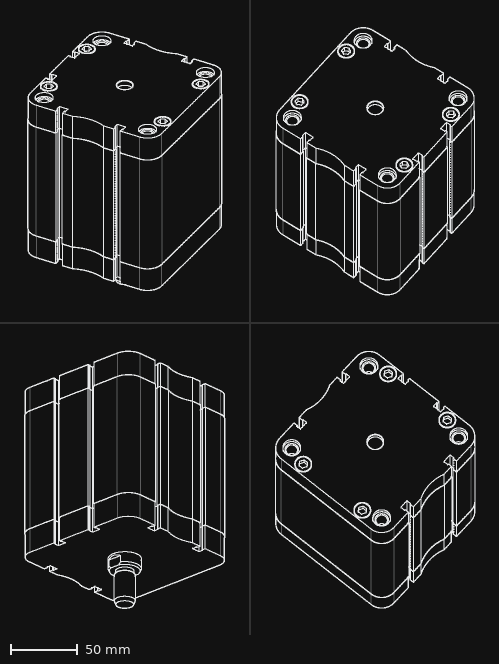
import cadquery as cq

PART_HEIGHT = 175.0
HOUSING_HEIGHT = 137.0
CAP_HEIGHT = 19.6
BARREL_HEIGHT = HOUSING_HEIGHT - 2 * CAP_HEIGHT
BARREL_SIDE = 113.5
CAP_SIDE = 113.0
CORNER_CENTER = 44.5

FLUTE_WIDTH = 26.8
FLUTE_DEPTH = 2.8
FLUTE_RADIUS = ((FLUTE_WIDTH / 2) ** 2 + FLUTE_DEPTH**2) / (2 * FLUTE_DEPTH)

SLOT_CHANNEL_WIDTH = 7.2
BARREL_NECK_WIDTH = 5.5
CAP_NECK_WIDTH = 5.8
Y_FACE_SLOT_OFFSET = 24.8
Y_FACE_SLOT_DEPTH = 7.2
Y_FACE_NECK_DEPTH = 3.5
X_FACE_SLOT_OFFSET = 17.5
X_FACE_SLOT_DEPTH = 6.0
X_FACE_NECK_DEPTH = 2.1

MOUNT_COUNTERBORE_DIAMETER = 13.5
MOUNT_COUNTERBORE_DEPTH = 3.5
MOUNT_CHAMFER_DIAMETER = 10.2
MOUNT_HOLE_DIAMETER = 8.5

SCREW_X = 49.0
SCREW_Y = 29.2
SCREW_GROOVE_DIAMETER = 12.8
SCREW_HEAD_DIAMETER = 12.0
SCREW_GROOVE_DEPTH = 0.9
SOCKET_ACROSS_FLATS = 6.0
SOCKET_DEPTH = 4.4

CENTER_BORE_DIAMETER = 12.0
CENTER_BORE_RIM_DIAMETER = 12.8
CENTER_BORE_DEPTH = 4.2

ROD_DIAMETER = 25.0
ROD_END = 10.2
ROD_END_CHAMFER_HEIGHT = 2.0
ROD_END_CHAMFER_WIDTH = 0.9
FLAT_WIDTH = 22.0
FLAT_START = 3.0
NECK_DIAMETER = 14.0
THREAD_DIAMETER = 16.0
THREAD_START = 13.0
THREAD_START_CHAMFER = 0.5
TIP_DIAMETER = 13.5
TIP_CHAMFER_HEIGHT = 3.2
ROD_TIP = PART_HEIGHT - HOUSING_HEIGHT


def rounded_block(side, height):
    """Square block whose rounded corners are centered on the mounting holes."""
    corner_radius = side / 2 - CORNER_CENTER
    block = cq.Workplane("XY").rect(side, side).extrude(height)
    return block.edges("|Z").fillet(corner_radius)


def flutes(side, height):
    """Cutters that hollow the middle of the +Y and -Y faces."""
    center = side / 2 - FLUTE_DEPTH + FLUTE_RADIUS
    return cq.Workplane("XY").pushPoints([(0, -center), (0, center)]).circle(FLUTE_RADIUS).extrude(height)


def t_slot(slot_depth, neck_depth, neck_width, height):
    """T-slot cutter that opens through the -Y face, centered on X = 0."""
    face = -BARREL_SIDE / 2
    neck = cq.Workplane("XY").center(0, face).rect(neck_width, 2 * neck_depth).extrude(height)
    channel_depth = slot_depth - neck_depth
    channel = (
        cq.Workplane("XY")
        .center(0, face + neck_depth + channel_depth / 2)
        .rect(SLOT_CHANNEL_WIDTH, channel_depth)
        .extrude(height)
    )
    return neck.union(channel)


def profiled_block(side, neck_width, height):
    """Length of the housing profile, standing on Z = 0."""
    block = rounded_block(side, height).cut(flutes(side, height))
    y_face_slot = t_slot(Y_FACE_SLOT_DEPTH, Y_FACE_NECK_DEPTH, neck_width, height)
    x_face_slot = t_slot(X_FACE_SLOT_DEPTH, X_FACE_NECK_DEPTH, neck_width, height)
    x_face_slot = x_face_slot.rotate((0, 0, 0), (0, 0, 1), -90)
    for sign in (-1, 1):
        front_slot = y_face_slot.translate((sign * Y_FACE_SLOT_OFFSET, 0, 0))
        block = block.cut(front_slot).cut(front_slot.mirror("XZ"))
        block = block.cut(x_face_slot.translate((0, sign * X_FACE_SLOT_OFFSET, 0)))
    return block


def four_places(x, y):
    """Points mirrored about both center planes."""
    return [(sx * x, sy * y) for sx in (-1, 1) for sy in (-1, 1)]


def mounting_hole():
    """Cutter for a counterbored, countersunk hole through the top cap."""
    chamfer = (MOUNT_CHAMFER_DIAMETER - MOUNT_HOLE_DIAMETER) / 2
    seat = CAP_HEIGHT - MOUNT_COUNTERBORE_DEPTH
    section = [
        (0, 0),
        (MOUNT_HOLE_DIAMETER / 2, 0),
        (MOUNT_HOLE_DIAMETER / 2, seat - chamfer),
        (MOUNT_CHAMFER_DIAMETER / 2, seat),
        (MOUNT_COUNTERBORE_DIAMETER / 2, seat),
        (MOUNT_COUNTERBORE_DIAMETER / 2, CAP_HEIGHT),
        (0, CAP_HEIGHT),
    ]
    return cq.Workplane("XZ").polyline(section).close().revolve(360, (0, 0), (0, 1))


def screw_head():
    """Cutter for one screw head: the ring groove and the socket, with corners toward +Y and -Y."""
    groove = (
        cq.Workplane("XY", origin=(0, 0, CAP_HEIGHT - SCREW_GROOVE_DEPTH))
        .circle(SCREW_GROOVE_DIAMETER / 2)
        .circle(SCREW_HEAD_DIAMETER / 2)
        .extrude(SCREW_GROOVE_DEPTH)
    )
    socket = (
        cq.Workplane("XY", origin=(0, 0, CAP_HEIGHT - SOCKET_DEPTH))
        .polygon(6, SOCKET_ACROSS_FLATS, circumscribed=True)
        .extrude(SOCKET_DEPTH)
    )
    return groove.add(socket).combine()


def center_bore():
    """Cutter for the centering bore, with a chamfered rim."""
    radius = CENTER_BORE_DIAMETER / 2
    rim_radius = CENTER_BORE_RIM_DIAMETER / 2
    floor = CAP_HEIGHT - CENTER_BORE_DEPTH
    section = [
        (0, floor),
        (radius, floor),
        (radius, CAP_HEIGHT - (rim_radius - radius)),
        (rim_radius, CAP_HEIGHT),
        (0, CAP_HEIGHT),
    ]
    return cq.Workplane("XZ").polyline(section).close().revolve(360, (0, 0), (0, 1))


def make_top_cap():
    """Top cap with mounting holes, screw heads and the centering bore."""
    cap = profiled_block(CAP_SIDE, CAP_NECK_WIDTH, CAP_HEIGHT)
    hole = mounting_hole()
    for x, y in four_places(CORNER_CENTER, CORNER_CENTER):
        cap = cap.cut(hole.translate((x, y, 0)))
    head = screw_head()
    for x, y in four_places(SCREW_X, SCREW_Y):
        cap = cap.cut(head.translate((x, y, 0)))
    cap = cap.cut(center_bore())
    return cap.translate((0, 0, HOUSING_HEIGHT - CAP_HEIGHT))


def make_barrel():
    """Plain length of the housing profile between the caps."""
    barrel = profiled_block(BARREL_SIDE, BARREL_NECK_WIDTH, BARREL_HEIGHT)
    return barrel.translate((0, 0, CAP_HEIGHT))


def make_bottom_cap():
    """Bottom cap, bored through for the rod."""
    rod_bore = cq.Workplane("XY").circle(ROD_DIAMETER / 2).extrude(CAP_HEIGHT)
    return profiled_block(CAP_SIDE, CAP_NECK_WIDTH, CAP_HEIGHT).cut(rod_bore)


def wrench_flat():
    """Cutter for the +X wrench flat, with a 45 degree run-out at its upper end."""
    flat_x = FLAT_WIDTH / 2
    run_out = ROD_DIAMETER / 2 - flat_x
    section = [
        (flat_x, -ROD_END),
        (flat_x, -FLAT_START),
        (flat_x + run_out, -FLAT_START + run_out),
        (flat_x + run_out, -ROD_END),
    ]
    return cq.Workplane("XZ").polyline(section).close().extrude(ROD_DIAMETER / 2, both=True)


def make_rod():
    """Stepped rod: guided shank with wrench flats, neck and chamfered thread."""
    rod_radius = ROD_DIAMETER / 2
    neck_radius = NECK_DIAMETER / 2
    thread_radius = THREAD_DIAMETER / 2
    section = [
        (0, CAP_HEIGHT),
        (rod_radius, CAP_HEIGHT),
        (rod_radius, -ROD_END + ROD_END_CHAMFER_HEIGHT),
        (rod_radius - ROD_END_CHAMFER_WIDTH, -ROD_END),
        (neck_radius, -ROD_END),
        (neck_radius, -THREAD_START),
        (thread_radius - THREAD_START_CHAMFER, -THREAD_START),
        (thread_radius, -THREAD_START - THREAD_START_CHAMFER),
        (thread_radius, -ROD_TIP + TIP_CHAMFER_HEIGHT),
        (TIP_DIAMETER / 2, -ROD_TIP),
        (0, -ROD_TIP),
    ]
    rod = cq.Workplane("XZ").polyline(section).close().revolve(360, (0, 0), (0, 1))
    flat = wrench_flat()
    return rod.cut(flat).cut(flat.mirror("YZ"))


top_cap = make_top_cap()
barrel = make_barrel()
bottom_cap = make_bottom_cap()
rod = make_rod()

result = cq.Compound.makeCompound([top_cap.val(), barrel.val(), bottom_cap.val(), rod.val()])